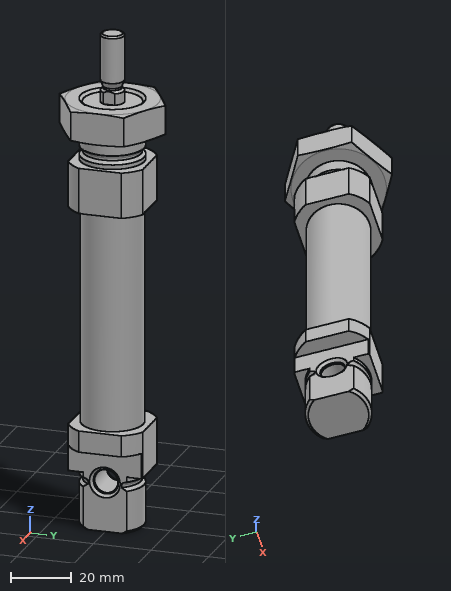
import cadquery as cq
import math

REAR_COVER_BOTTOM = 20.0
REAR_STEP = 28.7
REAR_COVER_TOP = 36.1
FRONT_COVER_BOTTOM = 112.3
FRONT_COVER_TOP = 128.1
NUT_TOP = 149.1
ROD_SHOULDER = 152.0
TOTAL_LENGTH = 172.0

BARREL_DIA = 21.3
COVER_WIDTH = 26.0
COVER_CORNER_DIA = 30.0

NECK_DIA = 22.0
SPIGOT_DIA = 20.0
GROOVE_DIA = 19.8
GROOVE_FILLET = 1.0
GROOVE_WIDTH = 3.1
FRONT_GROOVE_BOTTOM = 129.7
REAR_GROOVE_BOTTOM = 15.0
NECK_CHAMFER = 1.0

TONGUE_THICKNESS = 16.0
PIVOT_DIA = 8.0
PIVOT_MOUTH_DIA = 8.6
PIVOT_MOUTH_DEPTH = 1.5
PIVOT_HEIGHT = 17.2
PIVOT_CHAMFER = 1.0

NUT_ACROSS_FLATS = 32.0
NUT_HEIGHT = 11.0
NUT_CHAMFER_DIA = 31.5
NUT_CHAMFER_HEIGHT = 0.5
NUT_COUNTERSINK = 1.0
NUT_BOTTOM = NUT_TOP - NUT_HEIGHT
NECK_TOP = NUT_TOP - NUT_COUNTERSINK

ROD_DIA = 8.0
ROD_TIP_CHAMFER = 0.6
ROD_FLATS_WIDTH = 7.0
ROD_GROOVE_DIA = 6.4
ROD_GROOVE_BOTTOM = 152.9
ROD_GROOVE_TOP = 153.6
ROD_TIP_BOTTOM = 155.7


def turned(profile):
    """Revolve (diameter, height) points, given from the bottom up, around the Z axis."""
    outline = [(diameter / 2, height) for diameter, height in profile]
    axis_points = [(0, profile[-1][1]), (0, profile[0][1])]
    return cq.Workplane("XZ").polyline(outline + axis_points).close().revolve(360, (0, 0), (0, 1))


def cylinder(diameter, bottom, top):
    return cq.Workplane("XY").workplane(offset=bottom).circle(diameter / 2).extrude(top - bottom)


def cover(bottom, top):
    """Square block with its four corners turned round."""
    block = cq.Workplane("XY").workplane(offset=bottom).rect(COVER_WIDTH, COVER_WIDTH).extrude(top - bottom)
    return block.intersect(cylinder(COVER_CORNER_DIA, bottom, top))


def relief_groove(bottom):
    """Ring cut from a neck: a 45 degree cone below, a narrow floor, and a filleted wall above."""
    floor = GROOVE_DIA / 2
    rim = NECK_DIA / 2
    top = bottom + GROOVE_WIDTH
    cone_height = rim - floor
    arc_middle = GROOVE_FILLET * (1 - math.sqrt(0.5))
    return (
        cq.Workplane("XZ")
        .moveTo(rim, bottom)
        .lineTo(floor, bottom + cone_height)
        .lineTo(floor, top - GROOVE_FILLET)
        .threePointArc((floor + arc_middle, top - arc_middle), (floor + GROOVE_FILLET, top))
        .lineTo(rim, top)
        .close()
        .revolve(360, (0, 0), (0, 1))
    )


def front_neck():
    """Neck above the front cover, stepped down to a spigot that fits the nut bore."""
    neck = cylinder(NECK_DIA, FRONT_COVER_TOP, NUT_BOTTOM)
    spigot = cylinder(SPIGOT_DIA, NUT_BOTTOM, NECK_TOP)
    return neck.union(spigot).cut(relief_groove(FRONT_GROOVE_BOTTOM))


def rear_neck():
    """Neck below the rear cover, chamfered at its free end."""
    neck = cylinder(NECK_DIA, 0, REAR_COVER_BOTTOM).faces("<Z").chamfer(NECK_CHAMFER)
    return neck.cut(relief_groove(REAR_GROOVE_BOTTOM))


def pivot_hole():
    """Cross hole along X, with a short wider mouth and a chamfer at both ends."""
    half = TONGUE_THICKNESS / 2
    radius = PIVOT_DIA / 2
    mouth = PIVOT_MOUTH_DIA / 2
    shoulder = half - PIVOT_MOUTH_DEPTH
    outline = [
        (-half, 0),
        (-half, mouth + PIVOT_CHAMFER),
        (PIVOT_CHAMFER - half, mouth),
        (-shoulder, mouth),
        (-shoulder, radius),
        (shoulder, radius),
        (shoulder, mouth),
        (half - PIVOT_CHAMFER, mouth),
        (half, mouth + PIVOT_CHAMFER),
        (half, 0),
    ]
    hole = cq.Workplane("XZ").polyline(outline).close().revolve(360, (0, 0), (1, 0))
    return hole.translate((0, 0, PIVOT_HEIGHT))


def rear_end():
    """Rear cover and neck, cut to a flat tongue below the step."""
    rear = cover(REAR_COVER_BOTTOM, REAR_COVER_TOP).union(rear_neck())
    tongue = cq.Workplane("XY").rect(TONGUE_THICKNESS, COVER_WIDTH).extrude(REAR_STEP)
    above_step = cylinder(COVER_CORNER_DIA, REAR_STEP, REAR_COVER_TOP)
    return rear.intersect(tongue.union(above_step)).cut(pivot_hole())


def make_housing():
    barrel = cylinder(BARREL_DIA, REAR_COVER_TOP, FRONT_COVER_BOTTOM)
    front = cover(FRONT_COVER_BOTTOM, FRONT_COVER_TOP).union(front_neck())
    rod_bore = cylinder(ROD_DIA, FRONT_COVER_BOTTOM, NECK_TOP)
    return rear_end().union(barrel).union(front).cut(rod_bore)


def make_nut():
    """Hexagon nut around the spigot, countersunk from its top down to the end of the neck."""
    across_corners = NUT_ACROSS_FLATS / math.cos(math.pi / 6)
    hexagon = cq.Workplane("XY").workplane(offset=NUT_BOTTOM).polygon(6, across_corners).extrude(NUT_HEIGHT)
    hexagon = hexagon.rotate((0, 0, 0), (0, 0, 1), 90)
    chamfered_disc = turned([
        (NUT_CHAMFER_DIA, NUT_BOTTOM),
        (across_corners, NUT_BOTTOM + NUT_CHAMFER_HEIGHT),
        (across_corners, NUT_TOP - NUT_CHAMFER_HEIGHT),
        (NUT_CHAMFER_DIA, NUT_TOP),
    ])
    bore = turned([
        (SPIGOT_DIA, NUT_BOTTOM),
        (SPIGOT_DIA, NECK_TOP),
        (SPIGOT_DIA + 2 * NUT_COUNTERSINK, NUT_TOP),
    ])
    return hexagon.intersect(chamfered_disc).cut(bore)


def make_rod():
    """Piston rod with a groove below its tip and two wrench flats facing +X and -X."""
    rod = turned([
        (ROD_DIA, FRONT_COVER_BOTTOM),
        (ROD_DIA, ROD_SHOULDER),
        (ROD_GROOVE_DIA, ROD_GROOVE_BOTTOM),
        (ROD_GROOVE_DIA, ROD_GROOVE_TOP),
        (ROD_DIA, ROD_TIP_BOTTOM),
        (ROD_DIA, TOTAL_LENGTH - ROD_TIP_CHAMFER),
        (ROD_DIA - 2 * ROD_TIP_CHAMFER, TOTAL_LENGTH),
    ])
    flats_height = ROD_GROOVE_BOTTOM - NECK_TOP
    band = cylinder(ROD_DIA, NECK_TOP, ROD_GROOVE_BOTTOM)
    between_flats = (
        cq.Workplane("XY").workplane(offset=NECK_TOP).rect(ROD_FLATS_WIDTH, ROD_DIA).extrude(flats_height)
    )
    return rod.cut(band.cut(between_flats))


housing = make_housing()
nut = make_nut()
piston_rod = make_rod()

result = cq.Compound.makeCompound([housing.val(), nut.val(), piston_rod.val()])